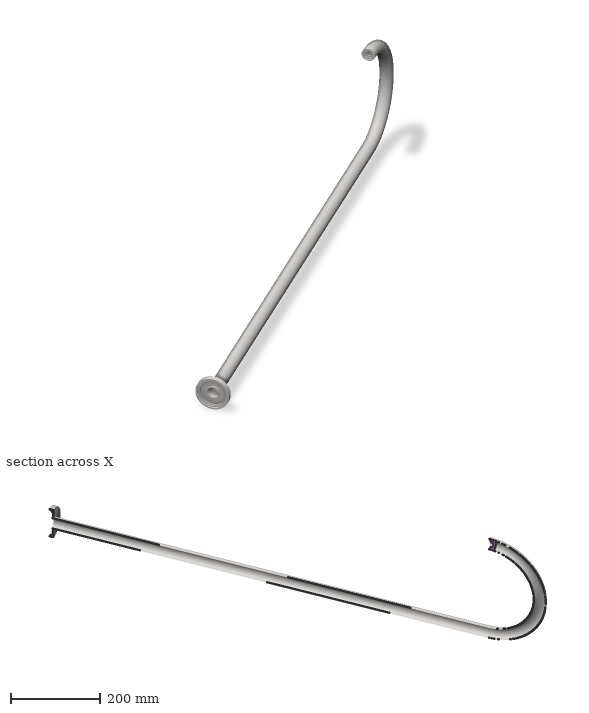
import math

import cadquery as cq

overall_length = 1206.0
tube_diameter = 32.0
wall_thickness = 3.0
bend_radius = 125.0

flange_diameter = 80.0
flange_thickness = 12.0
floor_thickness = 3.0
recess_mouth_radius = 36.0
recess_floor_radius = 31.0
recess_step_count = 3
tube_protrusion = 3.0

lip_length = 7.0
outlet_length = 18.0

outlet_step_width = 3.5
outlet_step_depth = 3.0
outlet_step_count = 4

tube_radius = tube_diameter / 2
bore_radius = tube_radius - wall_thickness
bend_start = overall_length - bend_radius - tube_radius
outlet_height = 2 * bend_radius
lip_angle = math.degrees(lip_length / bend_radius)
outlet_angle = math.degrees(outlet_length / bend_radius)
recess_depth = flange_thickness - floor_thickness
recess_step_depth = recess_depth / recess_step_count
recess_step_width = (recess_mouth_radius - recess_floor_radius) / (recess_step_count - 1)
tube_start = recess_depth - tube_protrusion


def cut_steps(body, centre, mouth_radius, step_width, step_depth, step_count):
    """Sink a round recess toward +Y from the centre point, narrowing by one step width per step."""
    for step in range(step_count):
        recess = (
            cq.Workplane("XZ", origin=centre)
            .circle(mouth_radius - step * step_width)
            .extrude(-(step + 1) * step_depth)
        )
        body = body.cut(recess, clean=False)
    return body


def bend_point(angle_from_tip):
    """(Y, Z) point on the bend centreline, at an angle in degrees back from the tip."""
    angle = math.radians(angle_from_tip)
    return (
        bend_start + bend_radius * math.sin(angle),
        bend_radius + bend_radius * math.cos(angle),
    )


def make_rod(radius, joint_angles):
    """Straight run from inside the flange, then arcs that curl back up to the last joint angle."""
    path = cq.Workplane("YZ").moveTo(tube_start, 0).lineTo(bend_start, 0)
    start_angle = 180.0
    for end_angle in joint_angles:
        path = path.threePointArc(
            bend_point((start_angle + end_angle) / 2),
            bend_point(end_angle),
        )
        start_angle = end_angle
    return cq.Workplane("XZ", origin=(0, tube_start, 0)).circle(radius).sweep(path)


def make_tube():
    """Bent tube whose bore stops short of the tip, where stepped recesses form the outlet."""
    tube = make_rod(tube_radius, [outlet_angle, lip_angle, 0.0])
    tube = tube.cut(make_rod(bore_radius, [outlet_angle]), clean=False)
    return cut_steps(
        tube,
        (0, bend_start, outlet_height),
        bore_radius,
        outlet_step_width,
        outlet_step_depth,
        outlet_step_count,
    )


def make_flange():
    """Cup opening toward -Y, with a hole through its floor that fits the tube."""
    disc = cq.Workplane("XZ").circle(flange_diameter / 2).extrude(-flange_thickness)
    cup = cut_steps(
        disc,
        (0, 0, 0),
        recess_mouth_radius,
        recess_step_width,
        recess_step_depth,
        recess_step_count,
    )
    tube_hole = cq.Workplane("XZ").circle(tube_radius).extrude(-flange_thickness)
    return cup.cut(tube_hole)


tube = make_tube()
flange = make_flange()

result = cq.Compound.makeCompound([tube.solids().val(), flange.solids().val()])